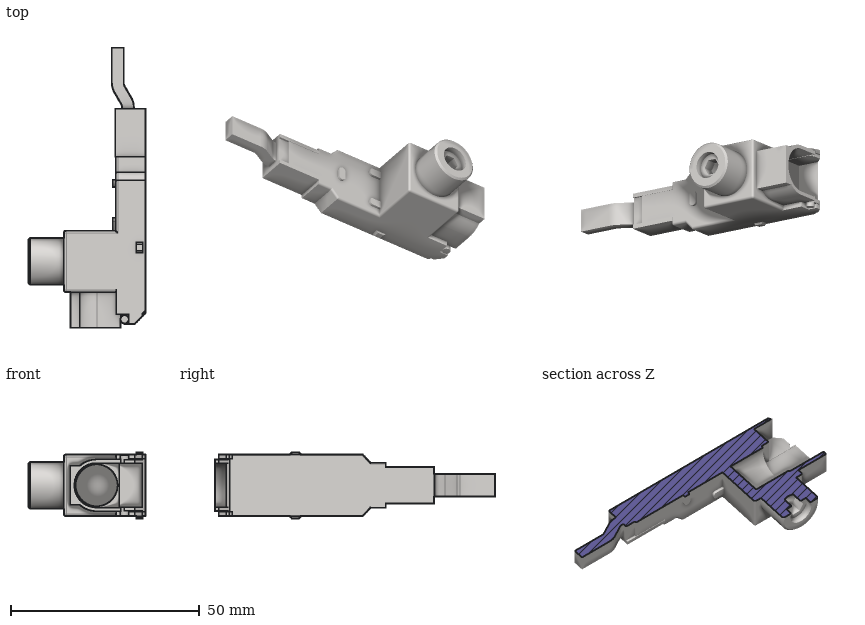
import cadquery as cq
import math


lever_face_x = -8.0
housing_half_z = 8.18
shoulder_y = 21.5
neck_start_y = 23.6
neck_end_y = 27.7
neck_half_z = 6.0
edge_fillet = 0.6
back_fillet = 0.25

head_face_x = -21.7
head_half_y = 8.15

arm_face_x = -7.8
arm_wall_face_x = -5.66
arm_wall_outer_z = 6.8
arm_gap_outer_z = 7.0
pin_notch_x = -4.5
pin_notch_y = -14.0
arm_end_y = -16.6
arm_end_chamfer = 2.95
arm_corner_step = 0.7

pin_x = -5.6
pin_radius = 1.1
pin_y = -15.35
pin_top_z = 8.0

entry_x = -13.0
shroud_radius = 6.85
shroud_face_x = -19.95
shroud_face_half_z = 5.2
shroud_back_x = -6.65
shroud_end_y = -17.6
cavity_radius = 5.9
cavity_back_x = -0.9
cavity_step_x = -6.97
back_cavity_half_z = 5.8
back_cavity_floor_y = -8.4
entry_cavity_floor_y = -6.0
wire_hole_radius = 5.55
wire_hole_floor_y = 5.0

sleeve_face_x = -31.1
sleeve_radius = 6.22
sleeve_chamfer = 0.5
recess_radius = 3.55
recess_depth = 2.0
hex_across_flats = 4.0
hex_depth = 3.0
hex_cone_depth = 1.2

block_face_x = -8.1
block_half_z = 4.85
block_end_y = 40.45
block_panel_half_z = 3.75
block_panel_depth = 0.1
end_pocket_start_y = 37.5
end_pocket_depth = 0.6

blade_thickness = 3.2
blade_half_z = 3.03
blade_face_x = -9.0
blade_offset_x = 2.7
blade_end_y = 56.6
blade_bend_start_y = 47.3
blade_root_y = 36.0
blade_bend_radius = 3.4
blade_bend_angle = math.radians(30)

pad_face_x = -8.75
oval_pad_y = 20.65
oval_pad_width = 2.0
oval_pad_length = 3.95
rail_end_y = 11.6
rail_z = 4.92
rail_width = 2.08
rail_fillet = 0.9
catch_x = -1.65
catch_width = 1.7
catch_y = 3.7
catch_length = 2.8
catch_top_z = 8.8
catch_chamfer = 0.5


def box(x_range, y_range, z_range):
    """Box spanning three (low, high) ranges."""
    sizes = [high - low for low, high in (x_range, y_range, z_range)]
    corner = (x_range[0], y_range[0], z_range[0])
    return cq.Workplane("XY").box(*sizes, centered=False).translate(corner)


def centred_box(x_range, y_range, half_z):
    """Box that is symmetric about the Z = 0 plane."""
    return box(x_range, y_range, (-half_z, half_z))


def cylinder_x(start_x, end_x, radius):
    """Cylinder on the screw axis."""
    return cq.Workplane("YZ").circle(radius).extrude(end_x - start_x).translate((start_x, 0, 0))


def cylinder_y(start_y, end_y, radius):
    """Cylinder on the wire entry axis."""
    cylinder = cq.Workplane("XZ").circle(radius).extrude(end_y - start_y)
    return cylinder.translate((entry_x, end_y, 0))


def both_sides(shape):
    """The shape together with its mirror image in the Z = 0 plane."""
    return shape.union(shape.mirror("XY"))


def make_head():
    head = centred_box((head_face_x, 0), (-head_half_y, head_half_y), housing_half_z)
    return head.edges("|X or <X").fillet(edge_fillet)


def make_lever():
    half_outline = [
        (-head_half_y, housing_half_z),
        (shoulder_y, housing_half_z),
        (neck_start_y, neck_half_z),
        (neck_end_y, neck_half_z),
    ]
    mirrored_outline = [(y, -z) for y, z in reversed(half_outline)]
    lever = cq.Workplane("YZ").polyline(half_outline + mirrored_outline).close().extrude(lever_face_x)
    return lever.faces("<X").edges("not |Z").fillet(edge_fillet)


def make_arm():
    arm = centred_box((arm_face_x, 0), (arm_end_y, 0), housing_half_z)
    arm = arm.edges(">X and <Y").chamfer(arm_end_chamfer)
    notch_y = (arm_end_y, pin_notch_y)
    pin_notch = box((arm_face_x, pin_notch_x), notch_y, (arm_wall_outer_z, housing_half_z))
    inner_notch = centred_box((arm_face_x, arm_wall_face_x), (arm_end_y, pin_y), arm_wall_outer_z)
    wall_gap = box((arm_face_x, cavity_back_x), notch_y, (arm_wall_outer_z, arm_gap_outer_z))
    return arm.cut(both_sides(pin_notch.union(wall_gap))).cut(inner_notch)


def make_corner_steps():
    """Shallow steps that follow the arm's end chamfer near the back face."""
    chamfer_start_y = arm_end_y + arm_end_chamfer
    step_start_y = chamfer_start_y + arm_corner_step
    step = (
        cq.Workplane("XY")
        .moveTo(0, step_start_y)
        .lineTo(cavity_back_x, step_start_y + cavity_back_x)
        .lineTo(cavity_back_x, chamfer_start_y + cavity_back_x)
        .lineTo(0, chamfer_start_y)
        .close()
        .extrude(housing_half_z - arm_gap_outer_z)
    )
    return both_sides(step.translate((0, 0, arm_gap_outer_z)))


def make_shroud():
    round_part = cylinder_y(shroud_end_y, 0, shroud_radius)
    face_part = centred_box((shroud_face_x, entry_x), (shroud_end_y, 0), shroud_face_half_z)
    back_part = centred_box((entry_x, shroud_back_x), (shroud_end_y, 0), shroud_radius)
    return round_part.union(face_part).union(back_part)


def make_cavity():
    round_part = cylinder_y(shroud_end_y, entry_cavity_floor_y, cavity_radius)
    entry_part = centred_box(
        (entry_x, cavity_step_x), (shroud_end_y, entry_cavity_floor_y), cavity_radius
    )
    back_part = centred_box(
        (cavity_step_x, cavity_back_x), (shroud_end_y, back_cavity_floor_y), back_cavity_half_z
    )
    wire_hole = cylinder_y(entry_cavity_floor_y, wire_hole_floor_y, wire_hole_radius)
    return round_part.union(entry_part).union(back_part).union(wire_hole)


def make_hinge_pins():
    pin = cq.Workplane("XY").center(pin_x, pin_y).circle(pin_radius).extrude(pin_top_z)
    return both_sides(pin)


def make_sleeve():
    sleeve = cylinder_x(sleeve_face_x, head_face_x, sleeve_radius)
    return sleeve.faces("<X").chamfer(sleeve_chamfer)


def make_screw_recess():
    recess = cylinder_x(sleeve_face_x, sleeve_face_x + recess_depth, recess_radius)
    across_corners = hex_across_flats / math.cos(math.pi / 6)
    socket = cq.Workplane("YZ").polygon(6, across_corners).extrude(recess_depth + hex_depth)
    bottom_x = sleeve_face_x + recess_depth + hex_depth
    bottom_cone = cq.Workplane(
        cq.Solid.makeCone(
            across_corners / 2, 0, hex_cone_depth, cq.Vector(bottom_x, 0, 0), cq.Vector(1, 0, 0)
        )
    )
    bottom_hex = cq.Workplane("YZ").polygon(6, across_corners).extrude(hex_cone_depth)
    bottom = bottom_cone.intersect(bottom_hex.translate((bottom_x, 0, 0)))
    return recess.union(socket.translate((sleeve_face_x, 0, 0))).union(bottom)


def make_terminal_block():
    block = centred_box((block_face_x, 0), (neck_end_y, block_end_y), block_half_z)
    panel = centred_box(
        (block_face_x, block_face_x + block_panel_depth), (neck_end_y, block_end_y), block_panel_half_z
    )
    end_pocket = centred_box(
        (block_face_x, block_face_x + end_pocket_depth),
        (end_pocket_start_y, block_end_y),
        block_panel_half_z,
    )
    return block.cut(panel).cut(end_pocket)


def make_blade():
    start_x = blade_face_x + blade_thickness / 2
    end_x = start_x + blade_offset_x
    arc_dx = blade_bend_radius * (1 - math.cos(blade_bend_angle))
    arc_dy = blade_bend_radius * math.sin(blade_bend_angle)
    slope_dy = (blade_offset_x - 2 * arc_dx) / math.tan(blade_bend_angle)
    slope_start_y = blade_bend_start_y - arc_dy
    slope_end_y = slope_start_y - slope_dy
    centre_line = (
        cq.Workplane("XY")
        .moveTo(start_x, blade_end_y)
        .lineTo(start_x, blade_bend_start_y)
        .tangentArcPoint((start_x + arc_dx, slope_start_y), relative=False)
        .lineTo(end_x - arc_dx, slope_end_y)
        .tangentArcPoint((end_x, slope_end_y - arc_dy), relative=False)
        .lineTo(end_x, blade_root_y)
    )
    section = cq.Workplane("XZ", origin=(start_x, blade_end_y, 0)).rect(blade_thickness, 2 * blade_half_z)
    return section.sweep(centre_line)


def make_pads():
    thickness = lever_face_x - pad_face_x
    oval = cq.Workplane("YZ").center(oval_pad_y, 0).slot2D(oval_pad_length, oval_pad_width, 90)
    pads = oval.extrude(thickness).translate((pad_face_x, 0, 0))
    rail = box(
        (pad_face_x, lever_face_x),
        (head_half_y - edge_fillet, rail_end_y),
        (rail_z - rail_width / 2, rail_z + rail_width / 2),
    )
    rail = rail.edges("|X and >Y").fillet(rail_fillet)
    return pads.union(both_sides(rail))


def make_catches():
    catch = cq.Workplane("XY").box(catch_width, catch_length, 2 * catch_top_z)
    catch = catch.edges("|X").chamfer(catch_chamfer)
    return catch.translate((catch_x, catch_y, 0))


housing = make_lever().union(make_head()).union(make_arm())
housing = housing.faces(">X").edges("not |Z").fillet(back_fillet).cut(make_corner_steps())

result = housing
for feature in (
    make_shroud(),
    make_hinge_pins(),
    make_sleeve(),
    make_terminal_block(),
    make_blade(),
    make_pads(),
    make_catches(),
):
    result = result.union(feature)
result = result.cut(make_cavity()).cut(make_screw_recess())